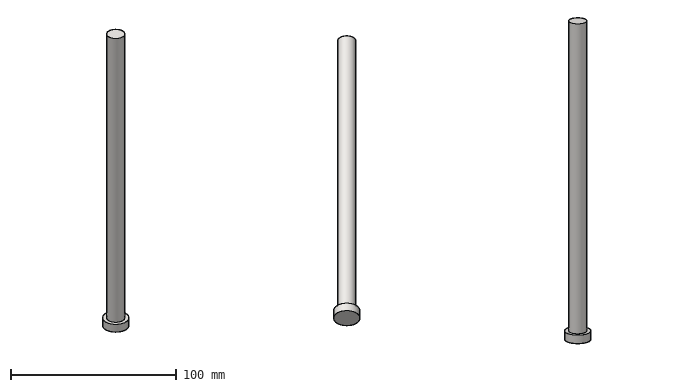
import cadquery as cq

total_length = 205.0
head_diameter = 16.0
head_height = 5.5
shank_diameter = 11.0

shank_length = total_length - head_height

head = cq.Workplane("XY").circle(head_diameter / 2).extrude(head_height)
result = head.faces(">Z").workplane().circle(shank_diameter / 2).extrude(shank_length)